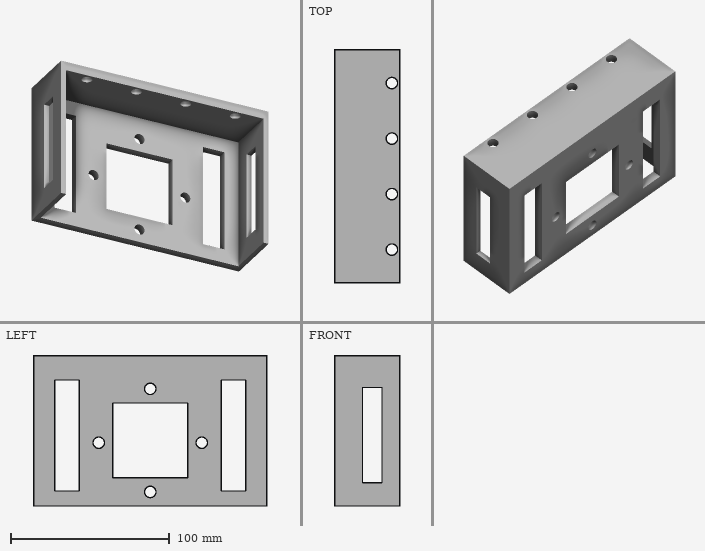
import cadquery as cq

DEPTH = 41.0
LENGTH = 147.0
HEIGHT = 95.0

FACE_WALL = 6.0
TOP_WALL = 6.0
END_WALL = 3.5

HOLE_DIAMETER = 7.0

WINDOW_SIZE = 47.0
WINDOW_CENTER_Z = 41.5
BOLT_OFFSET_Z = 32.5
BOLT_OFFSET_Y = 32.5
SIDE_BOLT_Z = 40.0

FACE_SLOT_WIDTH = 15.3
FACE_SLOT_HEIGHT = 69.7
FACE_SLOT_BOTTOM = 9.7
FACE_SLOT_OFFSET_Y = 52.5

END_SLOT_WIDTH = 12.0
END_SLOT_HEIGHT = 59.8
END_SLOT_START_X = 17.6
END_SLOT_BOTTOM = 14.8

TOP_HOLE_COUNT = 4
TOP_HOLE_PITCH = 35.0
TOP_HOLE_X = 36.0


def block(x_start, y_center, z_start, x_size, y_size, z_size):
    """Box placed by its low X and Z sides and centred in Y."""
    box = cq.Workplane("XY").box(x_size, y_size, z_size, centered=(False, True, False))
    return box.translate((x_start, y_center, z_start))


def face_hole(y, z):
    """Round cutter through the face wall."""
    return cq.Workplane("YZ").center(y, z).circle(HOLE_DIAMETER / 2).extrude(FACE_WALL)


def housing():
    outside = block(0, 0, 0, DEPTH, LENGTH, HEIGHT)
    cavity = block(
        FACE_WALL, 0, 0,
        DEPTH - FACE_WALL, LENGTH - 2 * END_WALL, HEIGHT - TOP_WALL,
    )
    return outside.cut(cavity)


def cut_face_window(body):
    window_bottom = WINDOW_CENTER_Z - WINDOW_SIZE / 2
    body = body.cut(block(0, 0, window_bottom, FACE_WALL, WINDOW_SIZE, WINDOW_SIZE))
    for side in (-1, 1):
        body = body.cut(face_hole(0, WINDOW_CENTER_Z + side * BOLT_OFFSET_Z))
        body = body.cut(face_hole(side * BOLT_OFFSET_Y, SIDE_BOLT_Z))
    return body


def cut_face_slots(body):
    for side in (-1, 1):
        slot = block(
            0, side * FACE_SLOT_OFFSET_Y, FACE_SLOT_BOTTOM,
            FACE_WALL, FACE_SLOT_WIDTH, FACE_SLOT_HEIGHT,
        )
        body = body.cut(slot)
    return body


def cut_end_slots(body):
    return body.cut(block(
        END_SLOT_START_X, 0, END_SLOT_BOTTOM,
        END_SLOT_WIDTH, LENGTH, END_SLOT_HEIGHT,
    ))


def cut_top_holes(body):
    holes = (
        cq.Workplane("XY", origin=(TOP_HOLE_X, 0, HEIGHT - TOP_WALL))
        .rarray(1.5, TOP_HOLE_PITCH, 1, TOP_HOLE_COUNT)
        .circle(HOLE_DIAMETER / 2)
        .extrude(TOP_WALL)
    )
    return body.cut(holes)


result = housing()
result = cut_face_window(result)
result = cut_face_slots(result)
result = cut_end_slots(result)
result = cut_top_holes(result)